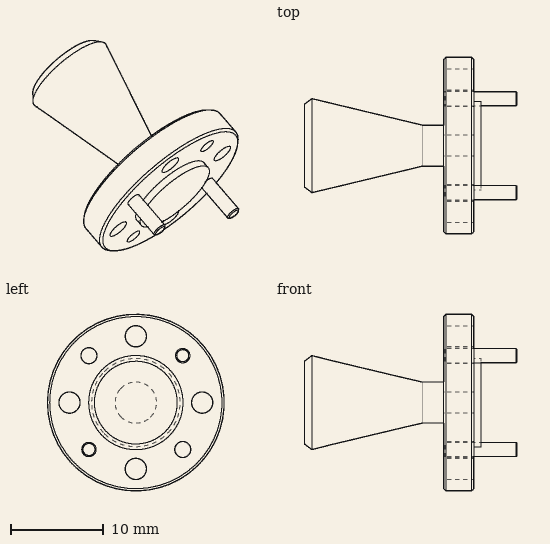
import cadquery as cq
import math


flange_diameter = 19.05
flange_thickness = 3.27
flange_chamfer = 0.25

boss_diameter = 9.525
boss_height = 0.78

knob_length = 15.0
neck_diameter = 4.45
neck_length = 2.3
knob_diameter = 10.16
knob_chamfer_length = 0.81
knob_chamfer_depth = 0.62

bolt_circle_diameter = 14.288
screw_hole_diameter = 2.26
alignment_hole_diameter = 1.70
pin_diameter = 1.55
pin_chamfer = 0.13
pin_length = 7.92

flange_back = -flange_thickness
knob_end = flange_back - knob_length
neck_end = flange_back - neck_length

screw_hole_angles = [0, 90, 180, 270]
alignment_hole_angles = [45, 225]
pin_angles = [135, 315]


def bolt_circle_point(angle):
    """(Y, Z) of a place on the bolt circle."""
    radius = bolt_circle_diameter / 2
    turn = math.radians(angle)
    return radius * math.cos(turn), radius * math.sin(turn)


def rod(diameter, start, length, angle):
    """A plain cylinder along +X at a place on the bolt circle."""
    return (
        cq.Workplane("YZ", origin=(start, 0, 0))
        .center(*bolt_circle_point(angle))
        .circle(diameter / 2)
        .extrude(length)
    )


def make_knob():
    """Tapered grip on a short neck, turned about X."""
    knob_radius = knob_diameter / 2
    neck_radius = neck_diameter / 2
    return (
        cq.Workplane("XY")
        .moveTo(knob_end, 0)
        .lineTo(knob_end, knob_radius - knob_chamfer_depth)
        .lineTo(knob_end + knob_chamfer_length, knob_radius)
        .lineTo(neck_end, neck_radius)
        .lineTo(flange_back, neck_radius)
        .lineTo(flange_back, 0)
        .close()
        .revolve(360, (0, 0, 0), (1, 0, 0))
    )


def make_flange():
    """Flange disc with knob and boss, drilled for the screws, mating pins and dowel pins."""
    disc = (
        cq.Workplane("YZ", origin=(flange_back, 0, 0))
        .circle(flange_diameter / 2)
        .extrude(flange_thickness)
        .edges()
        .chamfer(flange_chamfer)
    )
    boss = cq.Workplane("YZ").circle(boss_diameter / 2).extrude(boss_height)
    body = disc.union(boss).union(make_knob())

    for angle in screw_hole_angles:
        body = body.cut(rod(screw_hole_diameter, flange_back, flange_thickness, angle))
    for angle in alignment_hole_angles:
        body = body.cut(rod(alignment_hole_diameter, flange_back, flange_thickness, angle))
    for angle in pin_angles:
        body = body.cut(rod(pin_diameter, flange_back, flange_thickness, angle))
    return body


def make_pin(angle):
    """Dowel pin chamfered at both ends, its back end flush with the back of the flange."""
    return rod(pin_diameter, flange_back, pin_length, angle).edges("%CIRCLE").chamfer(pin_chamfer)


flange = make_flange()
pins = [make_pin(angle) for angle in pin_angles]

result = cq.Compound.makeCompound([flange.val(), *[pin.val() for pin in pins]])